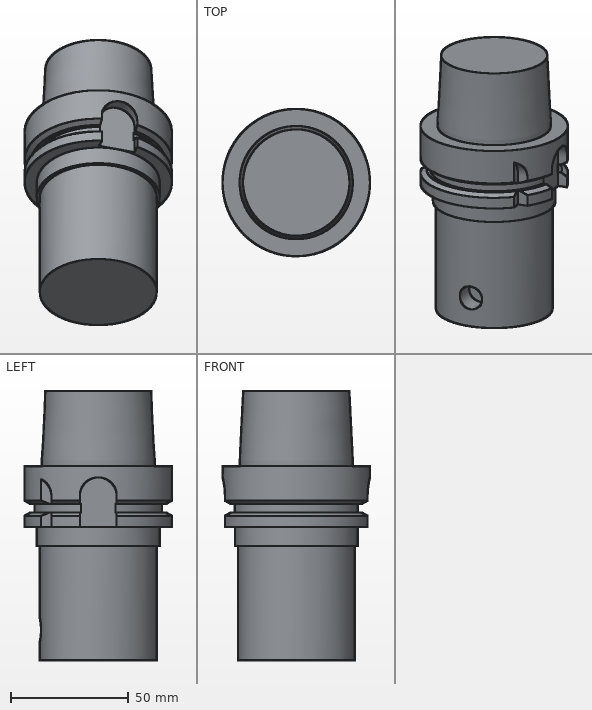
import cadquery as cq
import math

total_height = 115.0
body_top = 48.8
flange_bottom = 56.8
flange_top = 82.9
taper_start = 85.1

body_diameter = 50.0
collar_diameter = 52.5
flange_diameter = 63.0
neck_diameter = 54.7
taper_base_diameter = 48.4
taper_tip_diameter = 45.4

groove_floor_bottom = 63.1
groove_floor_top = 66.7
groove_bevel_height = 1.5
groove_bevel_angle = 30.0

slot_width = 15.8
slot_top = 78.1

keyway_floor_distance = 26.3

notch_corner_offset = 20.0

hole_diameter = 10.4
hole_height = 13.0
hole_depth = 10.4

flange_radius = flange_diameter / 2
cut_reach = flange_radius + 1.2


def turned_body():
    """Revolve the half profile of the holder about Z."""
    neck_radius = neck_diameter / 2
    bevel_depth = groove_bevel_height / math.tan(math.radians(groove_bevel_angle))
    bevel_inner_radius = flange_radius - bevel_depth
    profile = [
        (0, 0),
        (body_diameter / 2, 0),
        (body_diameter / 2, body_top),
        (collar_diameter / 2, body_top),
        (collar_diameter / 2, flange_bottom),
        (flange_radius, flange_bottom),
        (flange_radius, groove_floor_bottom - groove_bevel_height),
        (bevel_inner_radius, groove_floor_bottom),
        (neck_radius, groove_floor_bottom),
        (neck_radius, groove_floor_top),
        (bevel_inner_radius, groove_floor_top),
        (flange_radius, groove_floor_top + groove_bevel_height),
        (flange_radius, flange_top),
        (taper_base_diameter / 2, flange_top),
        (taper_base_diameter / 2, taper_start),
        (taper_tip_diameter / 2, total_height),
        (0, total_height),
    ]
    return cq.Workplane("XZ").polyline(profile).close().revolve(360, (0, 0), (0, 1))


def rim_slot(floor_distance, centre_offset):
    """Round-topped slot on the +X side, open at the flange underside."""
    half_width = slot_width / 2
    arch_start = slot_top - half_width
    return (
        cq.Workplane("YZ", origin=(floor_distance, centre_offset, 0))
        .moveTo(-half_width, flange_bottom)
        .lineTo(-half_width, arch_start)
        .threePointArc((0, slot_top), (half_width, arch_start))
        .lineTo(half_width, flange_bottom)
        .close()
        .extrude(cut_reach - floor_distance)
    )


def keyway():
    """Drive keyway centred on the +X axis."""
    return rim_slot(keyway_floor_distance, 0)


def orientation_notch():
    """Off-centre slot on the -X side whose floor and near wall form the notch corner."""
    centre_offset = notch_corner_offset + slot_width / 2
    return rim_slot(notch_corner_offset, centre_offset).mirror("YZ")


def radial_hole():
    """Blind hole running inward from the +Y side of the body."""
    return (
        cq.Workplane("XZ", origin=(0, body_diameter / 2, hole_height))
        .circle(hole_diameter / 2)
        .extrude(hole_depth)
    )


result = turned_body()
for keyway_angle in (0, 180):
    result = result.cut(keyway().rotate((0, 0, 0), (0, 0, 1), keyway_angle))
result = result.cut(orientation_notch())
result = result.cut(radial_hole())